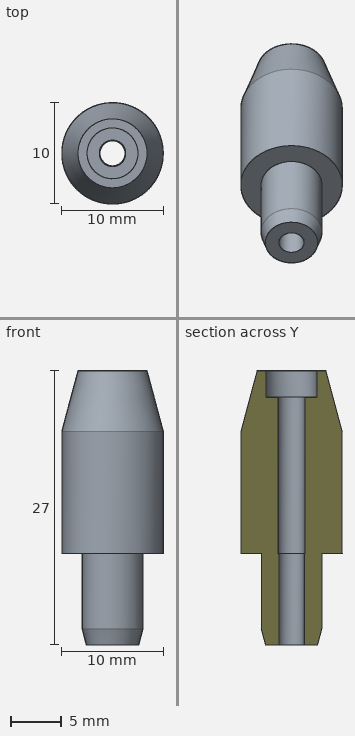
import cadquery as cq
import math

total_length = 27.0
shank_length = 9.0
nose_length = 6.0
tip_length = 1.6
socket_depth = 2.6

body_radius = 5.0
shank_radius = 3.0
taper_angle = math.radians(15)
nose_radius = body_radius - nose_length * math.tan(taper_angle)
tip_radius = shank_radius - tip_length * math.tan(taper_angle)

socket_radius = 2.5
body_bore_radius = 1.3
shank_bore_radius = 1.23

nose_base = total_length - nose_length
socket_floor = total_length - socket_depth


def make_pin():
    """Solid of revolution: tapered tip, shank, body and tapered nose."""
    half_profile = [
        (0, 0),
        (tip_radius, 0),
        (shank_radius, tip_length),
        (shank_radius, shank_length),
        (body_radius, shank_length),
        (body_radius, nose_base),
        (nose_radius, total_length),
        (0, total_length),
    ]
    return cq.Workplane("XZ").polyline(half_profile).close().revolve(360, (0, 0), (0, 1))


def make_bore_section(radius, bottom):
    """Cylinder on the axis from the given height up to the nose face."""
    return cq.Workplane("XY").workplane(offset=bottom).circle(radius).extrude(total_length - bottom)


def cut_stepped_bore(pin):
    """Through bore that widens at the shoulder and again at the socket in the nose."""
    bore_sections = [
        (shank_bore_radius, 0),
        (body_bore_radius, shank_length),
        (socket_radius, socket_floor),
    ]
    for radius, bottom in bore_sections:
        pin = pin.cut(make_bore_section(radius, bottom))
    return pin


result = cut_stepped_bore(make_pin())